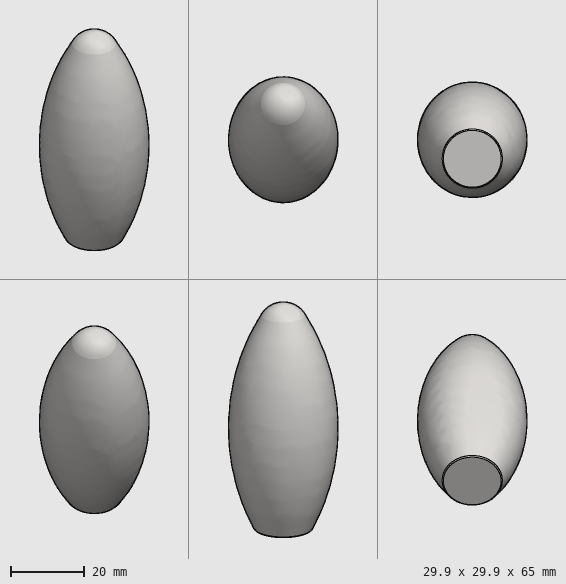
import cadquery as cq
import math

total_height = 65.0
body_diameter = 29.9
widest_height = 29.0
tip_diameter = 12.0
tip_height = 3.4
base_diameter = 16.4
base_edge = 0.3

body_radius = body_diameter / 2
tip_radius = tip_diameter / 2
base_radius = base_diameter / 2
shoulder_height = total_height - tip_height

dome_radius = (tip_radius**2 + tip_height**2) / (2 * tip_height)
dome_half_angle = math.asin(tip_radius / dome_radius) / 2
dome_middle = (
    dome_radius * math.sin(dome_half_angle),
    total_height - dome_radius * (1 - math.cos(dome_half_angle)),
)

profile = (
    cq.Workplane("XZ")
    .lineTo(base_radius - base_edge, 0)
    .lineTo(base_radius, base_edge)
    .threePointArc((body_radius, widest_height), (tip_radius, shoulder_height))
    .threePointArc(dome_middle, (0, total_height))
    .close()
)

result = profile.revolve(360, (0, 0, 0), (0, 1, 0))